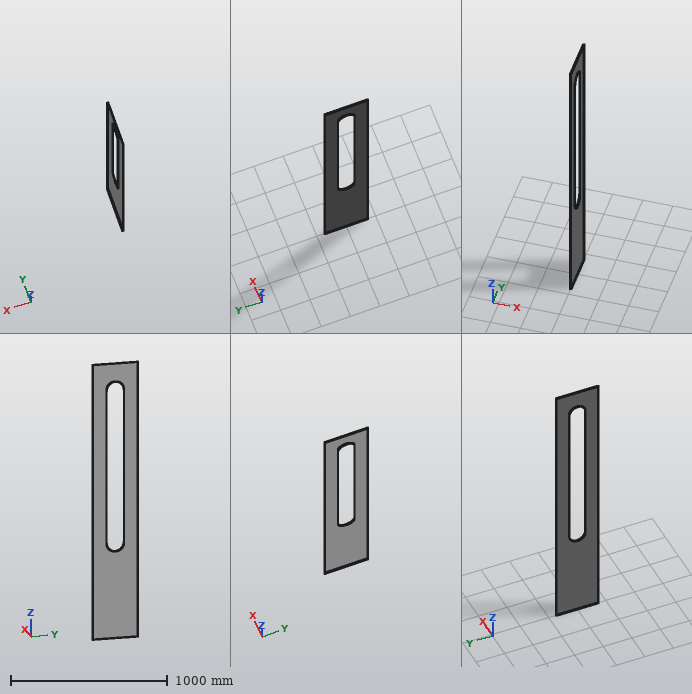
import cadquery as cq

plate_thickness = 6.4
plate_width = 295.0
plate_height = 1829.0

slot_width = 113.0
slot_length = 1130.0
slot_top_margin = 120.0

slot_center_z = plate_height / 2 - slot_top_margin - slot_length / 2

plate = cq.Workplane("XY").box(plate_thickness, plate_width, plate_height)

slot = (
    cq.Workplane("YZ")
    .center(0, slot_center_z)
    .slot2D(slot_length, slot_width, angle=90)
    .extrude(plate_thickness, both=True)
)

result = plate.cut(slot)